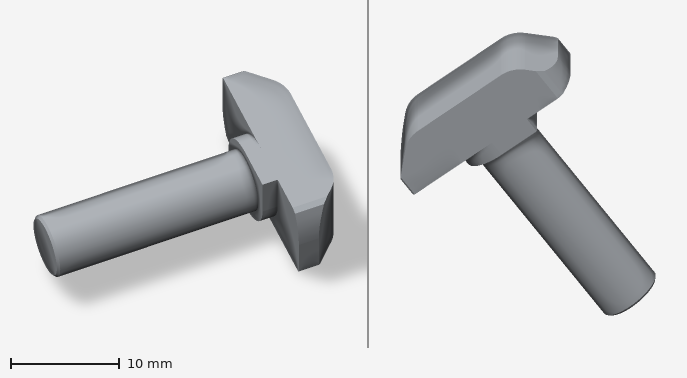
import cadquery as cq

head_width = 18.0
head_height = 8.0
head_thickness = 5.0
edge_thickness = 2.0
slope_blend_radius = 3.0
turning_arc_start = 0.15
turning_arc_inset = 0.9
arc_bevel_length = 0.55
arc_bevel_depth = 0.25
corner_chamfer = 0.19
neck_length = 1.5
shank_diameter = 6.0
total_length = 26.5
shank_length = total_length - head_thickness - neck_length
tip_chamfer = 0.25

half_width = head_width / 2
half_height = head_height / 2


def extrude_along_y(outline, start, end):
    """Extrude an XZ outline from Y = start to Y = end."""
    return outline.extrude(start - end).translate((0, start, 0))


def make_head():
    arc_end_x = half_width - turning_arc_inset
    arc_end_z = half_height - arc_bevel_depth
    bevel_end_x = arc_end_x - arc_bevel_length
    outline = (
        cq.Workplane("XZ")
        .moveTo(half_width, -half_height + corner_chamfer)
        .lineTo(half_width, turning_arc_start)
        .tangentArcPoint((arc_end_x, arc_end_z), relative=False)
        .lineTo(bevel_end_x, half_height)
        .lineTo(-half_width + corner_chamfer, half_height)
        .lineTo(-half_width, half_height - corner_chamfer)
        .lineTo(-half_width, -turning_arc_start)
        .tangentArcPoint((-arc_end_x, -arc_end_z), relative=False)
        .lineTo(-bevel_end_x, -half_height)
        .lineTo(half_width - corner_chamfer, -half_height)
        .close()
    )
    block = extrude_along_y(outline, 0, head_thickness)

    slope = head_thickness - edge_thickness
    profile = (
        cq.Workplane("XY")
        .rect(head_width, head_thickness)
        .extrude(half_height, both=True)
        .translate((0, head_thickness / 2, 0))
        .edges("|Z and >Y")
        .chamfer(slope)
        .edges("|Z and >Y")
        .fillet(slope_blend_radius)
    )
    return block.intersect(profile)


def make_neck():
    bulge = half_height / 2**0.5
    outline = (
        cq.Workplane("XZ")
        .moveTo(-half_height, -half_height)
        .lineTo(0, -half_height)
        .threePointArc((bulge, -bulge), (half_height, 0))
        .lineTo(half_height, half_height)
        .lineTo(0, half_height)
        .threePointArc((-bulge, bulge), (-half_height, 0))
        .close()
    )
    return extrude_along_y(outline, -neck_length, 0)


def make_shank():
    circle = cq.Workplane("XZ").circle(shank_diameter / 2)
    shank = extrude_along_y(circle, -neck_length - shank_length, -neck_length)
    return shank.faces("<Y").chamfer(tip_chamfer)


result = make_head().union(make_neck()).union(make_shank())